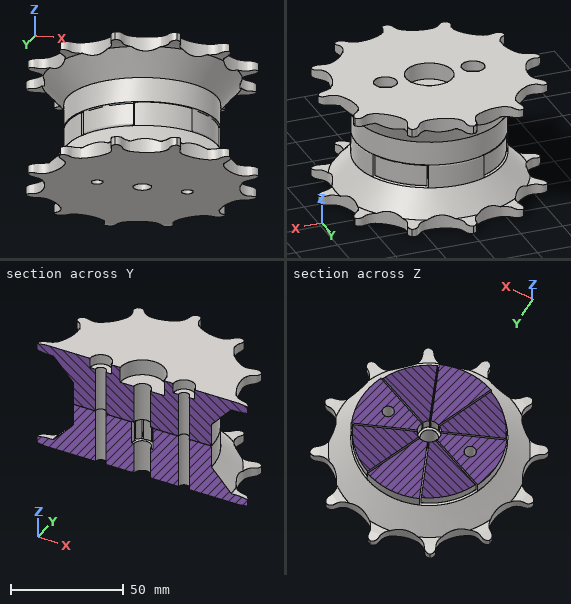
import cadquery as cq
import math

TOTAL_HEIGHT = 55.0
FLANGE_HEIGHT = 16.1
MIDDLE_Z = TOTAL_HEIGHT / 2
UPPER_FLANGE_Z = TOTAL_HEIGHT - FLANGE_HEIGHT

TIP_RADIUS = 53.3
DISC_THICKNESS = 5.0
HUB_DIAMETER = 70.0
HUB_RADIUS = HUB_DIAMETER / 2
CONE_RADIUS = 45.0

TOOTH_COUNT = 12
TOOTH_PITCH = 360 / TOOTH_COUNT
GULLET_RADIUS = 43.5
FLANK_FOOT = (45.0, 4.9)
FLANK_MIDDLE = (46.4, 3.6)
FLANK_TOP = (48.8, 2.7)
NOSE_START = (50.8, 2.5)
NOSE_MIDDLE = (52.4, 1.6)
TIP_DROP = 0.6

JAW_COUNT = 4
JAW_ANGLE = 180 / JAW_COUNT
JAW_PITCH = 360 / JAW_COUNT
JAW_EDGE_FILLET = 1.0
JAW_ROOT_FILLET = 0.5
JAW_SIDE_GAP = 0.5
JAW_END_GAP = 0.3
JAW_INNER_RADIUS = 5.3
UPPER_JAW_RECESS = 0.6
UPPER_JAW_RADIUS = HUB_RADIUS - UPPER_JAW_RECESS

FLATNESS = 0.1

BORE_DIAMETER = 8.2
BORE_RADIUS = BORE_DIAMETER / 2
BORE_RECESS_DIAMETER = 22.0
BORE_RECESS_DEPTH = 8.0
BOLT_DIAMETER = 5.2
BOLT_RECESS_DIAMETER = 10.5
BOLT_RECESS_DEPTH = 5.0
BOLT_OFFSET = 21.0
BOLT_POINTS = [(-BOLT_OFFSET, 0), (BOLT_OFFSET, 0)]


def turned(point, angle):
    """Rotate a 2D point about the origin by an angle in degrees."""
    cosine = math.cos(math.radians(angle))
    sine = math.sin(math.radians(angle))
    return (point[0] * cosine - point[1] * sine, point[0] * sine + point[1] * cosine)


def mirrored(point):
    """The matching point on the other side of the tooth centreline."""
    return (point[0], -point[1])


def sprocket_prism(height):
    """Solid with the toothed outline; one tooth points along +X."""
    outline = cq.Workplane("XY").moveTo(*mirrored(FLANK_FOOT))
    for index in range(TOOTH_COUNT):
        angle = index * TOOTH_PITCH
        outline = (
            outline
            .threePointArc(turned(mirrored(FLANK_MIDDLE), angle), turned(mirrored(FLANK_TOP), angle))
            .lineTo(*turned(mirrored(NOSE_START), angle))
            .threePointArc(turned(mirrored(NOSE_MIDDLE), angle), turned((TIP_RADIUS, 0), angle))
            .threePointArc(turned(NOSE_MIDDLE, angle), turned(NOSE_START, angle))
            .lineTo(*turned(FLANK_TOP, angle))
            .threePointArc(turned(FLANK_MIDDLE, angle), turned(FLANK_FOOT, angle))
            .threePointArc(
                turned((GULLET_RADIUS, 0), angle + TOOTH_PITCH / 2),
                turned(mirrored(FLANK_FOOT), angle + TOOTH_PITCH),
            )
        )
    return outline.close().extrude(height)


def toothed_flange():
    """Sprocket disc on Z = 0 with its cone narrowing to the hub radius."""
    taper_radius = FLANK_TOP[0]
    blank = (
        cq.Workplane("XZ")
        .polyline([
            (0, 0),
            (taper_radius, 0),
            (TIP_RADIUS, TIP_DROP),
            (TIP_RADIUS, DISC_THICKNESS - TIP_DROP),
            (taper_radius, DISC_THICKNESS),
            (CONE_RADIUS, DISC_THICKNESS),
            (HUB_RADIUS, FLANGE_HEIGHT),
            (0, FLANGE_HEIGHT),
        ])
        .close()
        .revolve(360, (0, 0), (0, 1))
    )
    return blank.intersect(sprocket_prism(FLANGE_HEIGHT))


def jaw_corner(radius, side_gap):
    """Corner where the side of a +X jaw, set back by side_gap, reaches a radius."""
    setback = math.degrees(math.asin(side_gap / radius))
    return turned((radius, 0), JAW_ANGLE / 2 - setback)


def sector(inner_radius, outer_radius, side_gap, bottom_z, top_z):
    """Ring sector as wide as a jaw, centred on +X, with its sides set back by side_gap."""
    inner_corner = jaw_corner(inner_radius, side_gap)
    outer_corner = jaw_corner(outer_radius, side_gap)
    return (
        cq.Workplane("XY", origin=(0, 0, bottom_z))
        .moveTo(*mirrored(inner_corner))
        .lineTo(*mirrored(outer_corner))
        .threePointArc((outer_radius, 0), outer_corner)
        .lineTo(*inner_corner)
        .threePointArc((inner_radius, 0), mirrored(inner_corner))
        .close()
        .extrude(top_z - bottom_z)
    )


def round_end(block, end_face, radius):
    """Round the sides and outer rim of a sector's end face."""
    return block.faces(end_face).edges("not(<X)").fillet(radius)


def ring_of(block, first_angle):
    """Copies of a block spaced around the axis, one for each jaw."""
    angles = [first_angle + index * JAW_PITCH for index in range(JAW_COUNT)]
    return [block.rotate((0, 0, 0), (0, 0, 1), angle) for angle in angles]


def edges_at_height(body, z):
    """All edges of a body that lie in the horizontal plane at z."""
    reach = HUB_RADIUS + 1.1
    slab = cq.selectors.BoxSelector(
        (-reach, -reach, z - FLATNESS), (reach, reach, z + FLATNESS), boundingbox=True
    )
    return body.edges(slab)


def lower_crown():
    """Hub ring slotted into jaws, with rounded slot floors and jaw ends."""
    crown = (
        cq.Workplane("XY", origin=(0, 0, DISC_THICKNESS))
        .circle(HUB_RADIUS)
        .circle(JAW_INNER_RADIUS)
        .extrude(MIDDLE_Z - DISC_THICKNESS)
        .rotate((0, 0, 0), (0, 0, 1), JAW_PITCH / 2)
    )
    slot = sector(BORE_RADIUS, CONE_RADIUS, 0, FLANGE_HEIGHT, TOTAL_HEIGHT)
    for tool in ring_of(round_end(slot, "<Z", JAW_ROOT_FILLET), JAW_PITCH / 2):
        crown = crown.cut(tool)
    inner_ends = cq.selectors.BoxSelector(
        (-BORE_DIAMETER, -BORE_DIAMETER, 0), (BORE_DIAMETER, BORE_DIAMETER, TOTAL_HEIGHT)
    )
    end_edges = edges_at_height(crown, MIDDLE_Z).edges(cq.selectors.InverseSelector(inner_ends))
    return end_edges.fillet(JAW_EDGE_FILLET)


def upper_crown():
    """Hub with slightly recessed jaws hanging from it, rounded at their roots and free ends."""
    crown = cq.Workplane("XY", origin=(0, 0, MIDDLE_Z)).circle(HUB_RADIUS).extrude(UPPER_FLANGE_Z - MIDDLE_Z)
    block = sector(
        JAW_INNER_RADIUS, UPPER_JAW_RADIUS, JAW_SIDE_GAP, FLANGE_HEIGHT + JAW_END_GAP, MIDDLE_Z
    )
    for single_jaw in ring_of(round_end(block, "<Z", JAW_EDGE_FILLET), JAW_PITCH / 2):
        crown = crown.union(single_jaw)
    root_edges = edges_at_height(crown, MIDDLE_Z)
    side_edges = root_edges.edges("%LINE")
    jaw_rims = root_edges.edges("%CIRCLE").edges(cq.selectors.RadiusNthSelector(-2))
    return jaw_rims.add(side_edges).fillet(JAW_ROOT_FILLET)


def cut_through_holes(body):
    """Centre bore and the two bolt holes."""
    bore = cq.Workplane("XY").circle(BORE_RADIUS).extrude(TOTAL_HEIGHT)
    bolt_holes = cq.Workplane("XY").pushPoints(BOLT_POINTS).circle(BOLT_DIAMETER / 2).extrude(TOTAL_HEIGHT)
    return body.cut(bore).cut(bolt_holes)


def cut_recesses(body):
    """Flat-bottomed recesses around the bore and bolt holes in the top face."""
    top = cq.Workplane("XY", origin=(0, 0, TOTAL_HEIGHT))
    bore_recess = top.circle(BORE_RECESS_DIAMETER / 2).extrude(-BORE_RECESS_DEPTH)
    bolt_recesses = top.pushPoints(BOLT_POINTS).circle(BOLT_RECESS_DIAMETER / 2).extrude(-BOLT_RECESS_DEPTH)
    return body.cut(bore_recess).cut(bolt_recesses)


def lower_sprocket():
    """Lower half, with jaws standing on its flange along the X and Y axes."""
    return cut_through_holes(toothed_flange().union(lower_crown()))


def upper_sprocket():
    """Upper half, with jaws hanging between the lower jaws and recesses in its top face."""
    flange = toothed_flange().mirror("XY").translate((0, 0, TOTAL_HEIGHT))
    return cut_recesses(cut_through_holes(flange.union(upper_crown())))


lower = lower_sprocket()
upper = upper_sprocket()

result = cq.Compound.makeCompound([lower.val(), upper.val()])